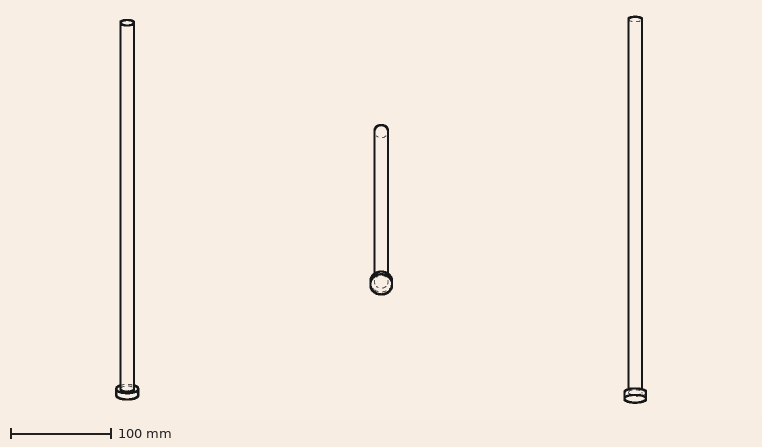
import cadquery as cq

total_length = 407.0
head_diameter = 22.0
head_height = 7.0
shank_diameter = 14.0

head = cq.Workplane("XY").circle(head_diameter / 2).extrude(head_height)
shank = cq.Workplane("XY").circle(shank_diameter / 2).extrude(total_length)

result = head.union(shank)